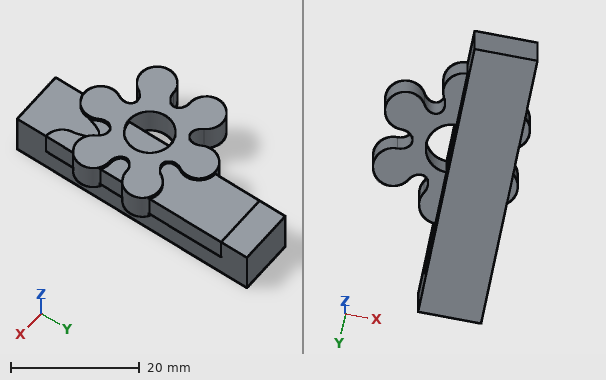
import cadquery as cq
import math

bar_length = 44.55
bar_width = 10.0
bar_height = 8.0
slider_depth = 3.95
end_stop_length = 5.0

lobe_count = 6
lobe_radius = 3.15
lobe_circle_radius = 9.55
valley_floor_radius = 6.2
bore_diameter = 8.0
wheel_thickness = 5.0
wheel_rise = 0.55
wheel_x = 0.0
wheel_y = 18.27

tooth_height = 3.3

slider_floor = bar_height - slider_depth
slider_back = bar_length - end_stop_length
half_pitch = math.pi / lobe_count
lobe_center_y = wheel_y - lobe_circle_radius


def make_bar_envelope():
    """Full block shared by the housing and the slider."""
    return cq.Workplane("XY").box(bar_width, bar_length, bar_height, centered=False)


def make_slider():
    """Slider with a half lobe at each side of its front end and a tooth-shaped notch between."""
    tooth_center_x = bar_width / 2
    lobe_tip_y = lobe_center_y - lobe_radius
    lobe_middle = lobe_radius * math.sqrt(0.5)
    left_root = (lobe_radius, lobe_center_y)
    right_root = (bar_width - lobe_radius, lobe_center_y)
    tooth_tip = (tooth_center_x, lobe_center_y + tooth_height)
    return (
        cq.Workplane("XY", origin=(0, 0, slider_floor))
        .moveTo(0, slider_back)
        .lineTo(0, lobe_tip_y)
        .threePointArc((lobe_middle, lobe_center_y - lobe_middle), left_root)
        .spline([tooth_tip, right_root], includeCurrent=True)
        .threePointArc((bar_width - lobe_middle, lobe_center_y - lobe_middle), (bar_width, lobe_tip_y))
        .lineTo(bar_width, slider_back)
        .close()
        .extrude(slider_depth)
    )


def make_housing(slider):
    """Bar with the space for the slider removed."""
    return make_bar_envelope().cut(slider)


def polar_point(radius, angle):
    return (radius * math.cos(angle), radius * math.sin(angle))


def make_wheel():
    """Lobed wheel with a bore, notched underneath where it straddles the bar."""
    valley_center_radius = lobe_circle_radius * math.cos(half_pitch)
    valley_length = valley_center_radius - valley_floor_radius
    valley_half_width = lobe_circle_radius * math.sin(half_pitch) - lobe_radius
    wheel_bottom = bar_height + wheel_rise - wheel_thickness

    lobe_centers = [polar_point(lobe_circle_radius, half_pitch * (2 * i + 1)) for i in range(lobe_count)]
    plane = cq.Workplane("XY", origin=(wheel_x, wheel_y, wheel_bottom))
    wheel = plane.polyline(lobe_centers).close().extrude(wheel_thickness)
    for i in range(lobe_count):
        valley_angle = 2 * half_pitch * i
        valley = (
            plane.center(*polar_point(valley_center_radius, valley_angle))
            .ellipse(valley_length, valley_half_width, rotation_angle=math.degrees(valley_angle))
            .extrude(wheel_thickness)
        )
        wheel = wheel.cut(valley)
    lobes = plane.pushPoints(lobe_centers).circle(lobe_radius).extrude(wheel_thickness)
    bore = plane.circle(bore_diameter / 2).extrude(wheel_thickness)
    return wheel.union(lobes).cut(bore).cut(make_bar_envelope())


slider = make_slider()
housing = make_housing(slider)
wheel = make_wheel()

result = cq.Compound.makeCompound([housing.val(), slider.val(), wheel.val()])